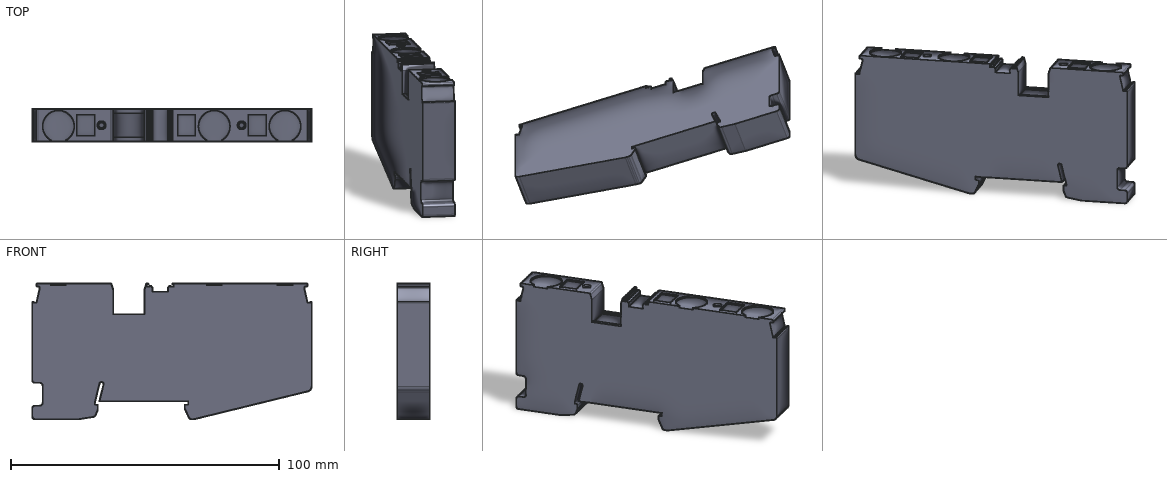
import cadquery as cq
import math

LENGTH = 104.0
THICKNESS = 12.2
HEIGHT = 50.5

TOUCHING = 0.001

SHOULDER_Z = 43.4
SHOULDER_LIP_WIDTH = 0.6
SHOULDER_LIP_HEIGHT = 0.3
SHOULDER_LIP_RADIUS = 0.4
FLANK_FOOT_X = 1.6
FLANK_TOP_X = 2.9
FLANK_TOP_RADIUS = 0.4
TOP_LIP_X = 1.6
TOP_LIP_HEIGHT = 1.2
TOP_LIP_RADIUS = 0.5

SLOT_LEFT_X = 30.2
SLOT_RIGHT_X = 41.7
SLOT_FLOOR_Z = 39.1
SLOT_FLARE = 0.7
SLOT_FLARE_HEIGHT = 2.4
SLOT_EDGE_RADIUS = 0.6
SLOT_WELL_WIDTH = 9.0

GROOVE_CENTER_X = 47.6

GROOVE_HALF_WIDTH = 2.8
GROOVE_FLOOR_Z = 47.4
HOOK_CHAMFER_X = 3.4
HOOK_CHAMFER_LOW_Z = 48.9
HOOK_STEP_Z = 49.6
HOOK_STEP_X = 3.7
UNDERCUT_NEAR_X = 4.0
UNDERCUT_FAR_X = 5.0
UNDERCUT_FLOOR_Z = 49.3
UNDERCUT_ROOF_Z = 50.0
HOOK_TIP_X = 4.4
HOOK_TOP_X = 4.7
HOOK_TOP_LOW_Z = 50.2

RAIL_NOTCH_DEPTH = 3.8
RAIL_NOTCH_BOTTOM_Z = 5.1
RAIL_NOTCH_TOP_Z = 13.5
RAIL_NOTCH_RADIUS = 1.0
FOOT_FLAT_END_X = 17.5
FOOT_CORNER = (23.4, 0.9)
FOOT_CORNER_RADIUS = 1.2
FOOT_TOE_X = 24.4
FOOT_TOE_LOW_Z = 3.5
LATCH_Z = 5.4
LATCH_RADIUS = 0.3

UNDERSIDE_Z = 6.7
SLIT_LEAN = math.radians(13.8)
SLIT_WIDTH = 1.5
SLIT_MOUTH_X = 25.0
SLIT_TOP_Z = 13.6
SLIT_FOOT_X = 23.3

FIXED_HOOK_ROOT_X = 58.0
FIXED_HOOK_TIP_X = 56.7
FIXED_HOOK_TIP_LOW_Z = 4.0
FIXED_HOOK_HEEL_X = 58.6
FIXED_HOOK_RADIUS = 1.0
SLOPE_START_X = 60.3
SLOPE_START_RADIUS = 3.1
SLOPE_END_Z = 10.7
SLOPE_END_RADIUS = 2.1

RECESS_DEPTH = 0.6
ROUND_CENTERS_X = (9.8, 67.7, 94.0)
ROUND_CENTER_Y = 5.7
ROUND_DIAMETER = 11.8
ROUND_MOUTH_WIDTH = 5.4
WINDOW_CENTERS_X = (19.9, 57.4, 83.7)
WINDOW_LENGTH = 6.7
WINDOW_WIDTH = 7.9
TEST_POINT_CENTERS_X = (25.8, 77.9)
TEST_POINT_TOP_DIAMETER = 3.1
TEST_POINT_FLOOR_DIAMETER = 2.1


def shoulder_corners():
    """Left upper corner as (x, z, radius), from the vertical side up to the top lip."""
    lip_low_z = HEIGHT - TOP_LIP_HEIGHT
    return [
        (0, SHOULDER_Z + SHOULDER_LIP_HEIGHT, SHOULDER_LIP_RADIUS),
        (SHOULDER_LIP_WIDTH, SHOULDER_Z + SHOULDER_LIP_HEIGHT, 0),
        (SHOULDER_LIP_WIDTH, SHOULDER_Z, 0),
        (FLANK_FOOT_X, SHOULDER_Z, 0),
        (FLANK_TOP_X, lip_low_z, FLANK_TOP_RADIUS),
        (TOP_LIP_X, lip_low_z, TOP_LIP_RADIUS),
        (TOP_LIP_X, HEIGHT, TOP_LIP_RADIUS),
    ]


def groove_side_corners():
    """Left side of the marker groove as (x, z, radius), from the top down to the floor."""
    half_profile = [
        (HOOK_TOP_X, HEIGHT, 0),
        (HOOK_TIP_X, HOOK_TOP_LOW_Z, 0),
        (HOOK_TIP_X, UNDERCUT_ROOF_Z, 0),
        (UNDERCUT_FAR_X, UNDERCUT_ROOF_Z, 0),
        (UNDERCUT_FAR_X, UNDERCUT_FLOOR_Z, 0),
        (UNDERCUT_NEAR_X, UNDERCUT_FLOOR_Z, 0),
        (HOOK_STEP_X, HOOK_STEP_Z, 0),
        (HOOK_CHAMFER_X, HOOK_STEP_Z, 0),
        (GROOVE_HALF_WIDTH, HOOK_CHAMFER_LOW_Z, 0),
        (GROOVE_HALF_WIDTH, GROOVE_FLOOR_Z, 0),
    ]
    return [(GROOVE_CENTER_X - distance, z, radius) for distance, z, radius in half_profile]


def mirrored(corners, center_x):
    """The corners reflected in x, in reverse order so that the outline runs on."""
    return [(2 * center_x - x, z, radius) for x, z, radius in reversed(corners)]


def top_corners():
    """Upper outline from left to right."""
    shoulder = shoulder_corners()
    groove_side = groove_side_corners()
    flare_low_z = HEIGHT - SLOT_FLARE_HEIGHT
    slot = [
        (SLOT_LEFT_X - SLOT_FLARE, HEIGHT, SLOT_EDGE_RADIUS),
        (SLOT_LEFT_X, flare_low_z, 0),
        (SLOT_LEFT_X, SLOT_FLOOR_Z, 0),
        (SLOT_RIGHT_X, SLOT_FLOOR_Z, 0),
        (SLOT_RIGHT_X, flare_low_z, 0),
        (SLOT_RIGHT_X + SLOT_FLARE, HEIGHT, SLOT_EDGE_RADIUS),
    ]
    groove = groove_side + mirrored(groove_side, GROOVE_CENTER_X)
    return shoulder + slot + groove + mirrored(shoulder, LENGTH / 2)


def fixed_side_corners():
    """Sloping underside and fixed rail hook, from right to left."""
    return [
        (LENGTH, SLOPE_END_Z, SLOPE_END_RADIUS),
        (SLOPE_START_X, 0, SLOPE_START_RADIUS),
        (FIXED_HOOK_HEEL_X, 0, FIXED_HOOK_RADIUS),
        (FIXED_HOOK_TIP_X, FIXED_HOOK_TIP_LOW_Z, 0),
        (FIXED_HOOK_TIP_X, LATCH_Z, LATCH_RADIUS),
        (FIXED_HOOK_ROOT_X, LATCH_Z, LATCH_RADIUS),
        (FIXED_HOOK_ROOT_X, UNDERSIDE_Z, 0),
    ]


def slit_corners():
    """Flexing slit with a round end, from its right mouth corner to the foot."""
    lean = math.tan(SLIT_LEAN)
    right_x = SLIT_MOUTH_X + (SLIT_TOP_Z - UNDERSIDE_Z) * lean
    left_x = right_x - SLIT_WIDTH * math.cos(SLIT_LEAN)
    left_z = SLIT_TOP_Z + SLIT_WIDTH * math.sin(SLIT_LEAN)
    foot_z = left_z - (left_x - SLIT_FOOT_X) / lean
    return [
        (SLIT_MOUTH_X, UNDERSIDE_Z, 0),
        (right_x, SLIT_TOP_Z, SLIT_WIDTH / 2),
        (left_x, left_z, SLIT_WIDTH / 2),
        (SLIT_FOOT_X, foot_z, 0),
    ]


def foot_corners():
    """Rail foot, from the slit round to the left side."""
    return [
        (SLIT_FOOT_X, LATCH_Z, LATCH_RADIUS),
        (FOOT_TOE_X, LATCH_Z, LATCH_RADIUS),
        (FOOT_TOE_X, FOOT_TOE_LOW_Z, 0),
        (*FOOT_CORNER, FOOT_CORNER_RADIUS),
        (FOOT_FLAT_END_X, 0, 0),
        (0, 0, RAIL_NOTCH_RADIUS),
        (0, RAIL_NOTCH_BOTTOM_Z, RAIL_NOTCH_RADIUS),
        (RAIL_NOTCH_DEPTH, RAIL_NOTCH_BOTTOM_Z, RAIL_NOTCH_RADIUS),
        (RAIL_NOTCH_DEPTH, RAIL_NOTCH_TOP_Z, RAIL_NOTCH_RADIUS),
        (0, RAIL_NOTCH_TOP_Z, RAIL_NOTCH_RADIUS),
    ]


def corner_arc(before, corner, after):
    """Start, middle and end of the arc that rounds a corner tangentially."""
    x, z, radius = corner
    vertex = cq.Vector(x, z)
    to_before = (cq.Vector(*before[:2]) - vertex).normalized()
    to_after = (cq.Vector(*after[:2]) - vertex).normalized()
    half_angle = to_before.getAngle(to_after) / 2
    setback = radius / math.tan(half_angle)
    bisector = (to_before + to_after).normalized()
    middle = vertex + bisector * (radius / math.sin(half_angle) - radius)
    return vertex + to_before * setback, middle, vertex + to_after * setback


def rounded_plate(corners):
    """Plate with the given (x, z, radius) outline; radius 0 keeps a sharp corner."""
    outline = cq.Workplane("XZ").moveTo(*corners[0][:2])
    pen = cq.Vector(*corners[0][:2])
    for before, corner, after in zip(corners, corners[1:], corners[2:] + corners[:1]):
        start, middle, end = corner_arc(before, corner, after)
        if (start - pen).Length > TOUCHING:
            outline = outline.lineTo(start.x, start.y)
        if corner[2] > 0:
            outline = outline.threePointArc((middle.x, middle.y), (end.x, end.y))
        pen = end
    return outline.close().extrude(-THICKNESS)


def top_plane():
    """Workplane on the top face."""
    return cq.Workplane("XY").workplane(offset=HEIGHT)


def round_recess(center_x):
    """Round recess that opens through the front side by a narrower mouth."""
    disc = top_plane().center(center_x, ROUND_CENTER_Y).circle(ROUND_DIAMETER / 2)
    mouth = top_plane().center(center_x, ROUND_CENTER_Y / 2).rect(ROUND_MOUTH_WIDTH, ROUND_CENTER_Y)
    keyhole = disc.extrude(-RECESS_DEPTH).union(mouth.extrude(-RECESS_DEPTH))
    body_area = top_plane().center(center_x, THICKNESS / 2).rect(ROUND_DIAMETER, THICKNESS)
    return keyhole.intersect(body_area.extrude(-RECESS_DEPTH))


def window_recess(center_x):
    """Rectangular recess across the middle of the thickness."""
    window = top_plane().center(center_x, THICKNESS / 2).rect(WINDOW_LENGTH, WINDOW_WIDTH)
    return window.extrude(-RECESS_DEPTH)


def test_point_recess(center_x):
    """Conical recess that narrows to a flat floor."""
    rim = top_plane().center(center_x, THICKNESS / 2).circle(TEST_POINT_TOP_DIAMETER / 2)
    floor = rim.workplane(offset=-RECESS_DEPTH).circle(TEST_POINT_FLOOR_DIAMETER / 2)
    return floor.loft(ruled=True)


def slot_well():
    """Shallow well in the slot floor, leaving a rail along each side."""
    length = SLOT_RIGHT_X - SLOT_LEFT_X
    floor = cq.Workplane("XY").workplane(offset=SLOT_FLOOR_Z)
    well = floor.center(SLOT_LEFT_X + length / 2, THICKNESS / 2).rect(length, SLOT_WELL_WIDTH)
    return well.extrude(-RECESS_DEPTH)


plate = rounded_plate(slit_corners() + foot_corners() + top_corners() + fixed_side_corners())
result = plate.cut(slot_well())
for recess_shape, centers_x in (
    (round_recess, ROUND_CENTERS_X),
    (window_recess, WINDOW_CENTERS_X),
    (test_point_recess, TEST_POINT_CENTERS_X),
):
    for recess_x in centers_x:
        result = result.cut(recess_shape(recess_x))